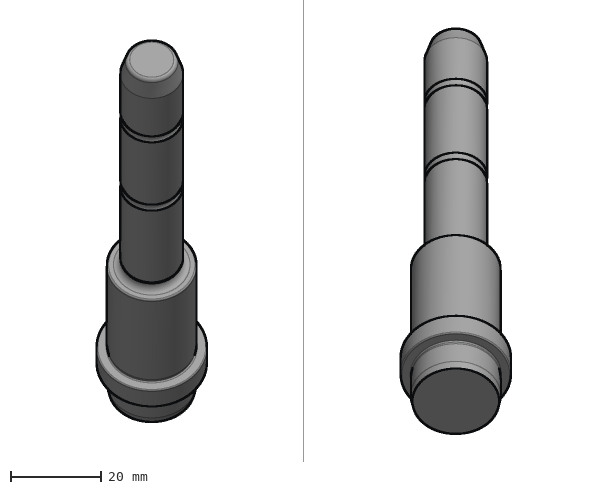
import cadquery as cq
import math

total_length = 120.0
flange_bottom = 9.0
flange_top = 15.0
shoulder_height = 45.0

body_radius = 10.0
lead_in_length = 2.0
lead_in_angle = math.radians(10)
relief_length = 1.0
relief_depth = 0.15
relief_round = 0.3
shoulder_round = 0.4

flange_radius = 12.3
flange_edge_round = 0.3

pin_radius = 7.0
neck_radius = 6.65
neck_fillet = 1.85
neck_chamfer_length = 0.8
tip_taper_length = 5.0
tip_taper_angle = math.radians(15)
tip_round = 1.0
groove_heights = (75.0, 100.0)
groove_half_width = 1.1
groove_depth = 0.4


def corner_round_midpoint(radius, height, size, direction):
    """Middle of a concave quarter round that joins a cylinder to a flat face.

    The cylinder has the given radius and the face lies at the given height.
    The direction is +1 when the cylinder rises from the face and -1 when it hangs below it.
    """
    inset = size * (1 - math.sqrt(0.5))
    return (radius + inset, height + direction * inset)


def make_body():
    """Body below the shoulder, with its flange, a conical lead-in and a tapered relief on each flange side."""
    lead_in_radius = body_radius - lead_in_length * math.tan(lead_in_angle)
    relief_radius = body_radius - relief_depth
    relief_round_radius = relief_radius + relief_round
    profile = (
        cq.Workplane("XZ")
        .lineTo(lead_in_radius, 0)
        .lineTo(body_radius, lead_in_length)
        .lineTo(body_radius, flange_bottom - relief_length)
        .lineTo(relief_radius, flange_bottom - relief_round)
        .threePointArc(
            corner_round_midpoint(relief_radius, flange_bottom, relief_round, -1),
            (relief_round_radius, flange_bottom),
        )
        .lineTo(flange_radius, flange_bottom)
        .lineTo(flange_radius, flange_top)
        .lineTo(relief_round_radius, flange_top)
        .threePointArc(
            corner_round_midpoint(relief_radius, flange_top, relief_round, 1),
            (relief_radius, flange_top + relief_round),
        )
        .lineTo(body_radius, flange_top + relief_length)
        .lineTo(body_radius, shoulder_height)
        .lineTo(0, shoulder_height)
        .close()
    )
    body = profile.revolve(360, (0, 0), (0, 1))
    body = body.faces(">Z").edges().fillet(shoulder_round)
    flange_rims = cq.selectors.RadiusNthSelector(-1)
    return body.edges("%CIRCLE").edges(flange_rims).fillet(flange_edge_round)


def make_pin():
    """Slender pin with a filleted neck at the shoulder and a rounded, tapered tip."""
    neck_top = shoulder_height + neck_fillet
    tip_radius = pin_radius - tip_taper_length * math.tan(tip_taper_angle)
    profile = (
        cq.Workplane("XZ")
        .moveTo(0, shoulder_height)
        .lineTo(neck_radius + neck_fillet, shoulder_height)
        .threePointArc(
            corner_round_midpoint(neck_radius, shoulder_height, neck_fillet, 1),
            (neck_radius, neck_top),
        )
        .lineTo(pin_radius, neck_top + neck_chamfer_length)
        .lineTo(pin_radius, total_length - tip_taper_length)
        .lineTo(tip_radius, total_length)
        .lineTo(0, total_length)
        .close()
    )
    return profile.revolve(360, (0, 0), (0, 1)).faces(">Z").edges().fillet(tip_round)


def make_groove(height):
    """Ring-shaped cutter for a shallow round-bottomed groove in the pin."""
    profile = (
        cq.Workplane("XZ")
        .moveTo(pin_radius, height - groove_half_width)
        .threePointArc(
            (pin_radius - groove_depth, height),
            (pin_radius, height + groove_half_width),
        )
        .close()
    )
    return profile.revolve(360, (0, 0), (0, 1))


result = make_body().union(make_pin())
for groove_height in groove_heights:
    result = result.cut(make_groove(groove_height))